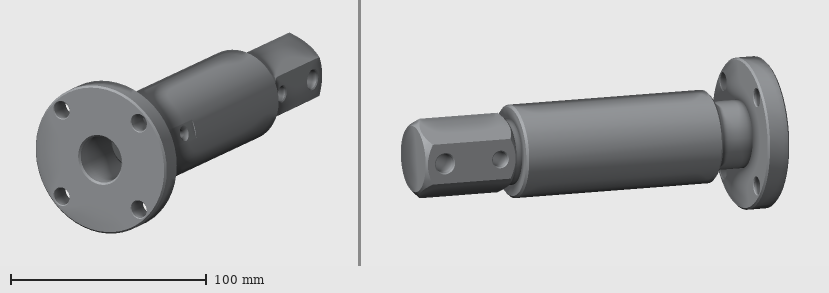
import cadquery as cq
import math

total_length = 191.6

flange_diameter = 78.0
flange_thickness = 11.9
flange_chamfer = 1.0
tube_diameter = 35.0
bore_diameter = 24.3
bore_chamfer = 1.0
bolt_circle_diameter = 65.0
bolt_count = 4
bolt_hole_diameter = 9.0
bolt_hole_chamfer = 0.4

housing_diameter = 47.9
housing_start = 30.3
housing_end = 138.5
housing_chamfer = 1.1
housing_bore_chamfer = 0.5

port_angle = 15.0
port_center = 45.6
pad_length = 20.0
pad_depth = 0.5
port_hole_diameter = 4.2
port_hole_chamfer = 2.0

hex_across_flats = 35.8
hex_length = 50.0
hex_end_diameter = 34.1
shaft_chamfer = 1.1
large_hole_diameter = 10.0
large_hole_offset = 10.3
small_hole_diameter = 8.0
small_hole_offset = 40.8
cross_hole_chamfer = 0.5

flange_radius = flange_diameter / 2
tube_radius = tube_diameter / 2
bore_radius = bore_diameter / 2
housing_radius = housing_diameter / 2
hex_end_radius = hex_end_diameter / 2
hex_start = total_length - hex_length


def revolved(points):
    """Turn a closed outline of (radius, Y) points about the Y axis."""
    return cq.Workplane("XY").polyline(points).close().revolve(360, (0, 0), (0, 1))


def hole_cutter(mouth, direction, length, diameter, chamfer):
    """Cylinder that starts at the mouth, with a 45 degree countersink there."""
    radius = diameter / 2
    straight = cq.Solid.makeCylinder(radius, length, mouth, direction)
    countersink = cq.Solid.makeCone(radius + chamfer, radius, chamfer, mouth, direction)
    return straight.fuse(countersink)


def make_flanged_tube():
    body = revolved([
        (bore_radius + bore_chamfer, 0),
        (flange_radius - flange_chamfer, 0),
        (flange_radius, flange_chamfer),
        (flange_radius, flange_thickness - flange_chamfer),
        (flange_radius - flange_chamfer, flange_thickness),
        (tube_radius, flange_thickness),
        (tube_radius, housing_end),
        (bore_radius, housing_end),
        (bore_radius, bore_chamfer),
    ])
    for i in range(bolt_count):
        angle = 2 * math.pi * (i + 0.5) / bolt_count
        x = bolt_circle_diameter / 2 * math.cos(angle)
        z = bolt_circle_diameter / 2 * math.sin(angle)
        for mouth_y, direction_y in ((0, 1), (flange_thickness, -1)):
            mouth = cq.Vector(x, mouth_y, z)
            direction = cq.Vector(0, direction_y, 0)
            body = body.cut(cq.Workplane(hole_cutter(
                mouth, direction, flange_thickness, bolt_hole_diameter, bolt_hole_chamfer)))
    return body


def make_housing():
    body = revolved([
        (tube_radius + housing_bore_chamfer, housing_start),
        (housing_radius - housing_chamfer, housing_start),
        (housing_radius, housing_start + housing_chamfer),
        (housing_radius, housing_end - housing_chamfer),
        (housing_radius - housing_chamfer, housing_end),
        (tube_radius, housing_end),
        (tube_radius, housing_start + housing_bore_chamfer),
    ])
    pad_radius = housing_radius - pad_depth
    pad = (
        cq.Workplane("XY")
        .box(housing_radius, pad_length, housing_diameter, centered=(False, True, True))
        .translate((pad_radius, port_center, 0))
    )
    port_hole = hole_cutter(
        cq.Vector(pad_radius, port_center, 0), cq.Vector(-1, 0, 0),
        pad_radius, port_hole_diameter, port_hole_chamfer)
    port = pad.add(port_hole).combine().rotate((0, 0, 0), (0, -1, 0), port_angle)
    return body.cut(port)


def make_hex_rod():
    hex_corner_diameter = hex_across_flats / math.cos(math.pi / 6)
    corner_radius = hex_corner_diameter / 2
    corner_chamfer = corner_radius - hex_end_radius
    hexagon = (
        cq.Workplane("XZ", origin=(0, total_length, 0))
        .transformed(rotate=(0, 0, 90))
        .polygon(6, hex_corner_diameter)
        .extrude(hex_length)
    )
    hex_envelope = revolved([
        (0, hex_start),
        (hex_end_radius, hex_start),
        (corner_radius, hex_start + corner_chamfer),
        (corner_radius, total_length - corner_chamfer),
        (hex_end_radius, total_length),
        (0, total_length),
    ])
    shaft = revolved([
        (0, housing_start),
        (bore_radius - shaft_chamfer, housing_start),
        (bore_radius, housing_start + shaft_chamfer),
        (bore_radius, housing_end),
        (hex_end_radius, housing_end),
        (hex_end_radius, hex_start),
        (0, hex_start),
    ])
    body = hexagon.intersect(hex_envelope).union(shaft)
    cross_holes = (
        (large_hole_diameter, large_hole_offset),
        (small_hole_diameter, small_hole_offset),
    )
    for diameter, offset in cross_holes:
        for side in (-1, 1):
            mouth = cq.Vector(side * hex_across_flats / 2, total_length - offset, 0)
            direction = cq.Vector(-side, 0, 0)
            body = body.cut(cq.Workplane(hole_cutter(
                mouth, direction, hex_across_flats, diameter, cross_hole_chamfer)))
    return body


flanged_tube = make_flanged_tube()
housing = make_housing()
hex_rod = make_hex_rod()

result = cq.Compound.makeCompound([flanged_tube.val(), housing.val(), hex_rod.val()])